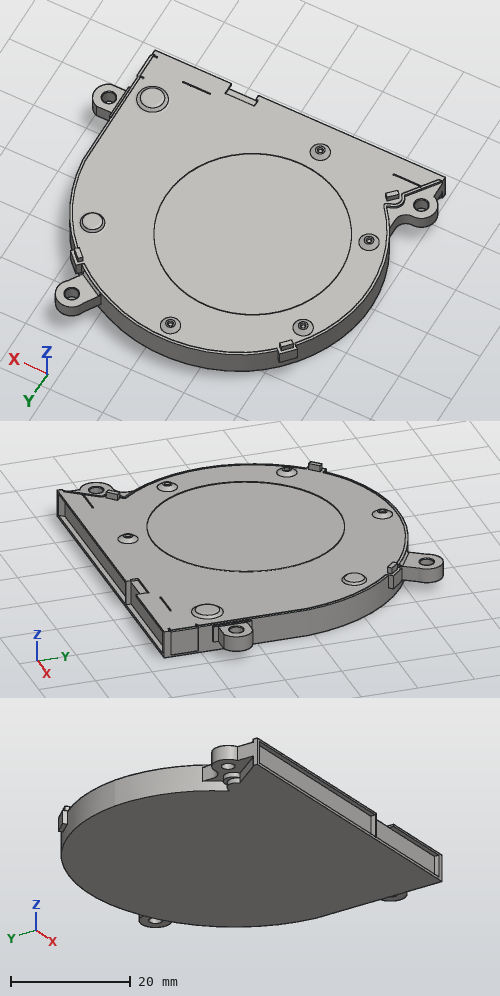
import cadquery as cq
import math


cover_z = 4.9
rim_z = 4.8
boss_top_z = 5.5
clip_top_z = 6.0
lug_bottom_z = 1.77
lug_top_z = 4.35
side_lug_top_z = 4.5
side_flange_top_z = 4.6

left_x = -22.8
right_x = 32.2
front_y = -25.45
outlet_depth = 0.9
outlet_back_y = front_y + outlet_depth

volute_start = (right_x, 0.0)
volute_arcs = (
    ((30.25, 28), (27.7, 58)),
    ((26.05, 85), (24.7, 116)),
    ((23.5, 147), (22.98, 172)),
)
volute_last_middle = (22.78, 197)
tongue_tip = (-16.9, -15.7)
tongue_notch_start = (-17.9, -16.1)
tongue_notch_middle = (-19.0, -17.4)
tongue_slant_top = (-18.5, -19.0)
tongue_slant_foot = (-22.6, outlet_back_y)
rim_width = 0.45

panel_radius = 16.5
panel_depth = 0.15

mouth_left_x = -22.1
mouth_left_back_x = -21.35
mouth_right_x = 31.2
mouth_bottom_z = 0.5
mouth_top_z = 4.5
divider_left_x = 12.3
divider_width = 0.3

notch_left_x = divider_left_x + divider_width
notch_right_x = 17.7
notch_back_y = -23.2
notch_overhang = 0.4
notch_floor_z = 4.55

slit_y = -21.9
slit_length = 5.2
slit_width = 0.2
slit_depth = 0.3
slit_centers_x = (-17.5, 22.45)

lug_radius = 2.75
lug_hole_radius = 1.15
lug_hole_chamfer = 0.15
left_lug_center = (-21.8, -18.9)
side_lug_center = (34.5, -13.5)
side_lug_width = 5.1
side_flange_length = 6.8
side_flange_thickness = 0.4
rear_lug_center = (21.0, 24.72)
rear_lug_angle = 57.0
rear_lug_width = 5.3
rear_lug_reach = 6.0
rear_web_center = (18.9, 21.2)
rear_web_angle = 59.0
rear_web_width = 0.5
lug_fillet_radius = 2.0
lug_fillet_x = -19.4
left_lug_root_y = -11.5

ledge_bottom_z = 0.9
ledge_radius = 1.7
ledge_center = (-18.0, -17.4)

clip_length = 2.1
clip_width = 0.85
clip_plate_length = 3.15
clip_plate_reach = 0.95
clip_plate_bottom_z = 2.45
wall_clips = (((-15.95, 17.75), 137.0), ((23.4, 17.85), 45.0))
tongue_clip_center = (-17.0, -17.6)
tongue_clip_angle = 135.0

side_plate_thickness = 0.22
side_plate_front_y = -24.3
side_plate_length = 4.8
side_plate_bottom_z = 0.45
side_tab_edge_x = 31.9
relief_left_x = 31.2
relief_width = 0.25
relief_depth = 0.3

pin_centers = ((3.2, 23.0), (-16.5, 12.9), (-17.9, -7.7), (-2.0, -20.1))
pin_radius = 1.7
pin_top_radius = 0.8
pin_rim_radius = 0.5
pin_dimple_radius = 0.35
pin_dimple_depth = 0.3
dome_flare = 0.4
dome_flare_height = 0.1
domes = (((24.6, 10.7), 2.45, 1.3), ((27.75, -16.3), 3.05, 1.65))


def polar(radius, degrees):
    angle = math.radians(degrees)
    return (radius * math.cos(angle), radius * math.sin(angle))


def box(x_range, y_range, z_range):
    size = [high - low for low, high in (x_range, y_range, z_range)]
    corner = (x_range[0], y_range[0], z_range[0])
    return cq.Workplane("XY").box(*size, centered=False).translate(corner)


def cylinder(center, radius, bottom, top):
    disc = cq.Workplane("XY", origin=(0, 0, bottom)).center(*center).circle(radius)
    return disc.extrude(top - bottom)


def housing_outline():
    """Plan outline: volute, tongue notch, slanted tongue wall and outlet end."""
    outline = cq.Workplane("XY").moveTo(*volute_start)
    for middle, end in volute_arcs:
        outline = outline.threePointArc(polar(*middle), polar(*end))
    return (
        outline.threePointArc(polar(*volute_last_middle), tongue_tip)
        .lineTo(*tongue_notch_start)
        .threePointArc(tongue_notch_middle, tongue_slant_top)
        .lineTo(*tongue_slant_foot)
        .lineTo(left_x, outlet_back_y)
        .lineTo(left_x, front_y)
        .lineTo(right_x, front_y)
        .close()
    )


def housing():
    wall = housing_outline().extrude(rim_z)
    cover = housing_outline().offset2D(-rim_width).extrude(cover_z)
    front_bar = box((left_x, right_x), (front_y, outlet_back_y), (0, cover_z))
    return wall.union(cover).union(front_bar)


def left_lug():
    """Lug plate that also bridges the slanted tongue wall to the outlet corner."""
    cx, cy = left_lug_center
    fillet_y = cy + lug_radius + lug_fillet_radius
    fillet_mid = lug_fillet_radius * math.sqrt(0.5)
    fillet_cx = lug_fillet_x - lug_fillet_radius
    lug_foot_y = cy - math.sqrt(lug_radius**2 - (left_x - cx) ** 2)
    inside_x = tongue_clip_center[0]
    plate = (
        cq.Workplane("XY", origin=(0, 0, lug_bottom_z))
        .moveTo(lug_fillet_x, left_lug_root_y)
        .lineTo(lug_fillet_x, fillet_y)
        .threePointArc(
            (fillet_cx + fillet_mid, fillet_y - fillet_mid),
            (fillet_cx, fillet_y - lug_fillet_radius),
        )
        .lineTo(cx, cy + lug_radius)
        .threePointArc((cx - lug_radius, cy), (left_x, lug_foot_y))
        .lineTo(left_x, (front_y + outlet_back_y) / 2)
        .lineTo(left_x + rim_width, outlet_back_y)
        .lineTo(inside_x, tongue_slant_top[1])
        .lineTo(inside_x, left_lug_root_y)
        .close()
        .extrude(lug_top_z - lug_bottom_z)
    )
    ledge = cylinder(ledge_center, ledge_radius, ledge_bottom_z, lug_bottom_z)
    return plate.union(ledge)


def side_lug():
    cx, cy = side_lug_center
    half = side_lug_width / 2
    flange_half = side_flange_length / 2
    heights = (lug_bottom_z, side_lug_top_z)
    ear = cylinder(side_lug_center, lug_radius, *heights)
    ear = ear.intersect(box((right_x, cx + lug_radius), (cy - half, cy + half), heights))
    neck = box((right_x - rim_width, cx), (cy - half, cy + half), heights)
    flange = box(
        (right_x - rim_width, right_x + side_flange_thickness),
        (cy - flange_half, cy + flange_half),
        (lug_bottom_z, side_flange_top_z),
    )
    return ear.union(neck).union(flange)


def rear_lug():
    """Ear and neck, with a sloped web where the neck meets the volute wall."""
    cx, cy = rear_lug_center
    ear = cylinder(rear_lug_center, lug_radius, lug_bottom_z, lug_top_z)
    neck = (
        box(
            (-rear_lug_reach, 0),
            (-rear_lug_width / 2, rear_lug_width / 2),
            (lug_bottom_z, lug_top_z),
        )
        .rotate((0, 0, 0), (0, 0, 1), rear_lug_angle)
        .translate((cx, cy, 0))
    )
    web = (
        cq.Workplane("XZ")
        .moveTo(-rim_width, lug_top_z)
        .lineTo(rear_web_width, lug_top_z)
        .lineTo(0, rim_z)
        .lineTo(-rim_width, rim_z)
        .close()
        .extrude(rear_lug_width / 2, both=True)
        .rotate((0, 0, 0), (0, 0, 1), rear_web_angle)
        .translate((*rear_web_center, 0))
    )
    return ear.union(neck).union(web)


def clip_post(center, angle):
    """Upright snap post; the angle is the direction of its outward face."""
    post = box(
        (-clip_width / 2, clip_width / 2),
        (-clip_length / 2, clip_length / 2),
        (clip_plate_bottom_z, clip_top_z),
    )
    return post.rotate((0, 0, 0), (0, 0, 1), angle).translate((*center, 0))


def clip_plate(center, angle):
    plate = box(
        (-clip_plate_reach, clip_plate_reach),
        (-clip_plate_length / 2, clip_plate_length / 2),
        (clip_plate_bottom_z, cover_z),
    )
    return plate.rotate((0, 0, 0), (0, 0, 1), angle).translate((*center, 0))


def side_plate():
    return box(
        (right_x - rim_width, right_x + side_plate_thickness),
        (side_plate_front_y, side_plate_front_y + side_plate_length),
        (side_plate_bottom_z, rim_z),
    )


def side_tab():
    """Part of the cover that reaches over the rim beside the side plate."""
    return box(
        (relief_left_x, side_tab_edge_x),
        (side_plate_front_y, side_plate_front_y + side_plate_length),
        (rim_z, cover_z),
    )


def side_relief(center_y):
    """Short slit that frees one end of the side tab."""
    return box(
        (relief_left_x, side_tab_edge_x),
        (center_y - relief_width / 2, center_y + relief_width / 2),
        (cover_z - relief_depth, cover_z),
    )


def revolved(profile, center):
    turned = cq.Workplane("XZ").polyline(profile).close().revolve(360, (0, 0), (0, 1))
    return turned.translate((*center, 0))


def lug_hole(center, top_z):
    """Through hole with a small chamfer at its upper edge."""
    profile = [
        (0, lug_bottom_z),
        (lug_hole_radius, lug_bottom_z),
        (lug_hole_radius, top_z - lug_hole_chamfer),
        (lug_hole_radius + lug_hole_chamfer, top_z),
        (0, top_z),
    ]
    return revolved(profile, center)


def pin(center):
    """Small conical boss with a dimpled top."""
    profile = [
        (0, rim_z),
        (pin_radius, rim_z),
        (pin_radius, cover_z),
        (pin_top_radius, boss_top_z),
        (pin_rim_radius, boss_top_z),
        (pin_dimple_radius, boss_top_z - pin_dimple_depth),
        (0, boss_top_z - pin_dimple_depth),
    ]
    return revolved(profile, center)


def dome(center, base_radius, top_radius):
    """Large flared boss with a flat top and a bevelled shoulder."""
    profile = [
        (0, rim_z),
        (base_radius, rim_z),
        (base_radius, cover_z),
        (base_radius - dome_flare, cover_z + dome_flare_height),
        (top_radius + dome_flare, boss_top_z - dome_flare_height),
        (top_radius, boss_top_z),
        (0, boss_top_z),
    ]
    return revolved(profile, center)


def mouth():
    """Shallow outlet opening, with a divider left standing in it."""
    opening = (
        cq.Workplane("XY", origin=(0, 0, mouth_bottom_z))
        .moveTo(mouth_left_x, front_y)
        .lineTo(mouth_right_x, front_y)
        .lineTo(mouth_right_x, outlet_back_y)
        .lineTo(mouth_left_back_x, outlet_back_y)
        .close()
        .extrude(mouth_top_z - mouth_bottom_z)
    )
    divider = box(
        (divider_left_x, divider_left_x + divider_width),
        (front_y, outlet_back_y),
        (mouth_bottom_z, mouth_top_z),
    )
    return opening.cut(divider)


def cover_notch():
    lip_gap = box(
        (notch_left_x, notch_right_x), (front_y, outlet_back_y), (mouth_bottom_z, cover_z)
    )
    recess = box(
        (notch_left_x - notch_overhang, notch_right_x),
        (outlet_back_y, notch_back_y),
        (notch_floor_z, cover_z),
    )
    return lip_gap.union(recess)


def slit(center_x):
    return box(
        (center_x - slit_length / 2, center_x + slit_length / 2),
        (slit_y - slit_width / 2, slit_y + slit_width / 2),
        (cover_z - slit_depth, cover_z),
    )


result = housing()
for lug in (left_lug(), side_lug(), rear_lug()):
    result = result.union(lug)
for clip_center, clip_angle in wall_clips:
    result = result.union(clip_plate(clip_center, clip_angle))
    result = result.union(clip_post(clip_center, clip_angle))
result = result.union(clip_post(tongue_clip_center, tongue_clip_angle))
result = result.union(side_plate()).union(side_tab())
for pin_center in pin_centers:
    result = result.union(pin(pin_center))
for dome_center, dome_base_radius, dome_top_radius in domes:
    result = result.union(dome(dome_center, dome_base_radius, dome_top_radius))

lug_holes = (
    (left_lug_center, lug_top_z),
    (side_lug_center, side_lug_top_z),
    (rear_lug_center, lug_top_z),
)
for lug_center, hole_top_z in lug_holes:
    result = result.cut(lug_hole(lug_center, hole_top_z))
result = result.cut(cylinder((0, 0), panel_radius, cover_z - panel_depth, cover_z))
result = result.cut(mouth()).cut(cover_notch())
for slit_center_x in slit_centers_x:
    result = result.cut(slit(slit_center_x))
for relief_y in (side_plate_front_y, side_plate_front_y + side_plate_length):
    result = result.cut(side_relief(relief_y))